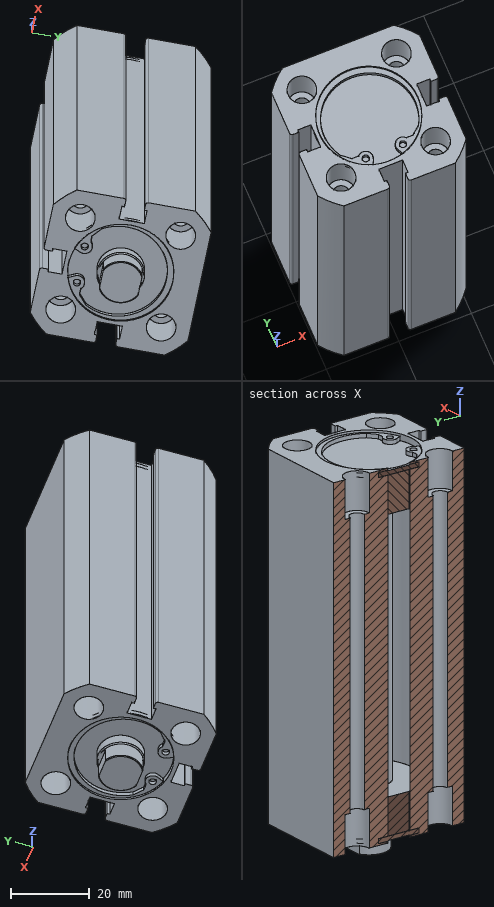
import cadquery as cq
import math

overall_length = 109.0
body_width = 41.0
rod_projection = 6.1
body_length = overall_length - rod_projection
corner_diameter = 51.2

slot_depth = 5.9
slot_width = 6.5
mouth_width = 5.1
lip_depth = 2.3
mouth_fillet = 0.7
slot_floor = body_width / 2 - slot_depth

hole_spacing = 26.0
hole_diameter = 4.3
counterbore_diameter = 7.5
counterbore_depth = 10.9

bore_radius = 13.5
cover_thickness = 10.9

ring_inset = 0.7
ring_thickness = 1.2
ring_wall = 0.1
ring_outer_radius = slot_floor - ring_wall
ring_inner_radius = 12.5
ring_inner_offset = 0.7
ring_arc_end_x = 10.8
lug_arm_x = 8.4
lug_arm_y = -9.0
lug_x = 5.1
lug_y = -10.4
lug_radius = 2.0
lug_hole_diameter = 1.9
cover_inset = ring_inset + ring_thickness

rod_diameter = 12.2
rod_end_diameter = 11.5
rod_end_length = 4.8
rod_step_chamfer = (rod_diameter - rod_end_diameter) / 2
rod_end_chamfer = 0.2
flat_width = 10.0
flat_length = 4.1


def cylinder(diameter, length, bottom=0.0):
    """Upright cylinder on the Z axis."""
    return cq.Workplane("XY").workplane(offset=bottom).circle(diameter / 2).extrude(length)


def make_slot_cutter():
    """Full-length slot with a narrowed mouth, open to the -Y side."""
    face = -body_width / 2
    lip = face + lip_depth
    half_slot = slot_width / 2
    half_mouth = mouth_width / 2
    half_opening = half_mouth + mouth_fillet
    fillet_start = face + mouth_fillet
    arc_inset = mouth_fillet * (1 - math.sqrt(0.5))
    arc_x = half_mouth + arc_inset
    arc_y = face + arc_inset
    return (
        cq.Workplane("XY")
        .moveTo(-half_slot, -slot_floor)
        .lineTo(half_slot, -slot_floor)
        .lineTo(half_slot, lip)
        .lineTo(half_mouth, lip)
        .lineTo(half_mouth, fillet_start)
        .threePointArc((arc_x, arc_y), (half_opening, face))
        .lineTo(-half_opening, face)
        .threePointArc((-arc_x, arc_y), (-half_mouth, fillet_start))
        .lineTo(-half_mouth, lip)
        .lineTo(-half_slot, lip)
        .close()
        .extrude(body_length)
    )


def make_ring_blank(bottom):
    """Retaining ring without lug holes: a tapering C, open at -Y, with a lug at each end."""
    lug_distance = math.hypot(lug_x, lug_y)
    out_x = lug_x / lug_distance
    out_y = lug_y / lug_distance
    end_length = math.sqrt(ring_outer_radius**2 - lug_radius**2)
    edge_start = (lug_x + lug_radius * out_y, lug_y - lug_radius * out_x)
    edge_end = (
        end_length * out_x + lug_radius * out_y,
        end_length * out_y - lug_radius * out_x,
    )
    lug_join_x = lug_x + math.sqrt(lug_radius**2 - (lug_arm_y - lug_y) ** 2)
    arc_end_y = -ring_inner_offset - math.sqrt(ring_inner_radius**2 - ring_arc_end_x**2)
    inner_top = ring_inner_radius - ring_inner_offset
    lug_top = lug_y + lug_radius
    return (
        cq.Workplane("XY")
        .workplane(offset=bottom)
        .moveTo(-edge_end[0], edge_end[1])
        .threePointArc((0, ring_outer_radius), edge_end)
        .lineTo(*edge_start)
        .threePointArc((lug_x, lug_top), (lug_join_x, lug_arm_y))
        .lineTo(lug_arm_x, lug_arm_y)
        .lineTo(ring_arc_end_x, arc_end_y)
        .threePointArc((0, inner_top), (-ring_arc_end_x, arc_end_y))
        .lineTo(-lug_arm_x, lug_arm_y)
        .lineTo(-lug_join_x, lug_arm_y)
        .threePointArc((-lug_x, lug_top), (-edge_start[0], edge_start[1]))
        .close()
        .extrude(ring_thickness)
    )


def make_retaining_ring(bottom):
    """Retaining ring with a plier hole in each lug."""
    lug_holes = (
        cq.Workplane("XY")
        .workplane(offset=bottom)
        .pushPoints([(-lug_x, lug_y), (lug_x, lug_y)])
        .circle(lug_hole_diameter / 2)
        .extrude(ring_thickness)
    )
    return make_ring_blank(bottom).cut(lug_holes)


def make_housing():
    """Slotted square tube with rounded corners, mounting holes and ring grooves."""
    housing = (
        cq.Workplane("XY")
        .rect(body_width, body_width)
        .extrude(body_length)
        .intersect(cylinder(corner_diameter, body_length))
        .cut(cylinder(2 * bore_radius, body_length))
    )
    for angle in (-90, 0, 90):
        housing = housing.cut(make_slot_cutter().rotate((0, 0, 0), (0, 0, 1), angle))
    for end in (">Z", "<Z"):
        housing = (
            housing.faces(end)
            .workplane(origin=(0, 0, 0))
            .rect(hole_spacing, hole_spacing, forConstruction=True)
            .vertices()
            .cboreHole(hole_diameter, counterbore_diameter, counterbore_depth)
        )
    for bottom in ring_bottoms:
        housing = housing.cut(make_ring_blank(bottom))
    return housing


def make_rear_cover():
    """Plain disc that closes the top of the bore."""
    bottom = body_length - cover_inset - cover_thickness
    return cylinder(2 * bore_radius, cover_thickness, bottom)


def make_rod_cover():
    """Disc at the bottom of the bore that guides the rod."""
    return cylinder(2 * bore_radius, cover_thickness, cover_inset).cut(
        cylinder(rod_diameter, cover_thickness, cover_inset)
    )


def make_rod():
    """Rod from the rear cover out through the rod cover, with a flattened end."""
    tip = -rod_projection
    step = tip + rod_end_length
    top = body_length - cover_inset - cover_thickness
    rod_end = cylinder(rod_end_diameter, rod_end_length, tip).faces("<Z").chamfer(rod_end_chamfer)
    shaft = cylinder(rod_diameter, top - step, step).faces("<Z").chamfer(rod_step_chamfer)
    rod = shaft.union(rod_end)

    flat = flat_width / 2
    outside = rod_diameter / 2
    flat_top = tip + flat_length
    flat_cutter = (
        cq.Workplane("YZ")
        .polyline([
            (-flat, tip),
            (-flat, flat_top),
            (-outside, flat_top + outside - flat),
            (-outside, tip),
        ])
        .close()
        .extrude(outside, both=True)
    )
    return rod.cut(flat_cutter).cut(flat_cutter.mirror("XZ"))


ring_bottoms = [ring_inset, body_length - ring_inset - ring_thickness]

housing = make_housing()
rear_cover = make_rear_cover()
rod_cover = make_rod_cover()
rod = make_rod()
retaining_rings = [make_retaining_ring(bottom) for bottom in ring_bottoms]

result = cq.Compound.makeCompound([
    housing.val(),
    rear_cover.val(),
    rod_cover.val(),
    rod.val(),
    *[ring.val() for ring in retaining_rings],
])